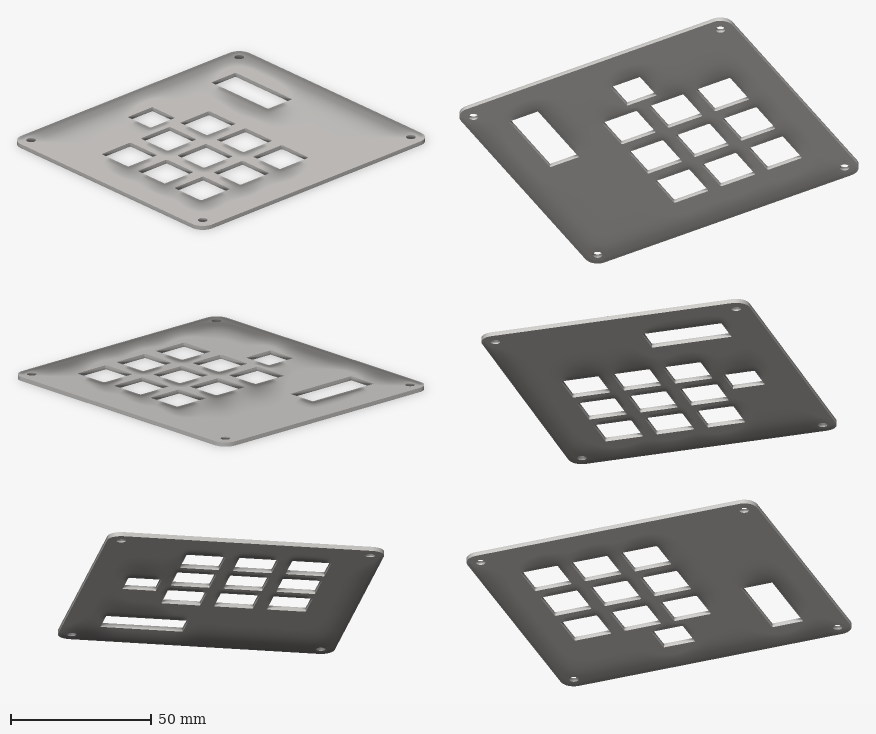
import cadquery as cq

length = 111.0
width = 100.0
thickness = 1.5
corner_radius = 5.0

hole_diameter = 3.4
hole_inset = 5.0

key_size = 14.1
key_corner_radius = 0.5
key_pitch = 19.1
keys_per_side = 3
key_grid_center = (6.7, -13.9)

display_width = 29.7
display_height = 11.8
display_center = (-21.5, 34.9)

knob_size = 12.0
knob_center = (-29.6, -6.3)


def make_plate():
    return cq.Workplane("XY").box(width, length, thickness).edges("|Z").fillet(corner_radius)


def make_window(center, size_x, size_y):
    return cq.Workplane("XY").center(*center).rect(size_x, size_y).extrude(thickness, both=True)


def make_key_openings():
    key = cq.Workplane("XY").box(key_size, key_size, 2 * thickness).edges("|Z").fillet(key_corner_radius)
    return (
        cq.Workplane("XY")
        .center(*key_grid_center)
        .rarray(key_pitch, key_pitch, keys_per_side, keys_per_side)
        .eachpoint(lambda location: key.val().located(location))
    )


def make_mounting_holes():
    return (
        cq.Workplane("XY")
        .rect(width - 2 * hole_inset, length - 2 * hole_inset, forConstruction=True)
        .vertices()
        .circle(hole_diameter / 2)
        .extrude(thickness, both=True)
    )


result = (
    make_plate()
    .cut(make_mounting_holes())
    .cut(make_key_openings())
    .cut(make_window(display_center, display_width, display_height))
    .cut(make_window(knob_center, knob_size, knob_size))
)